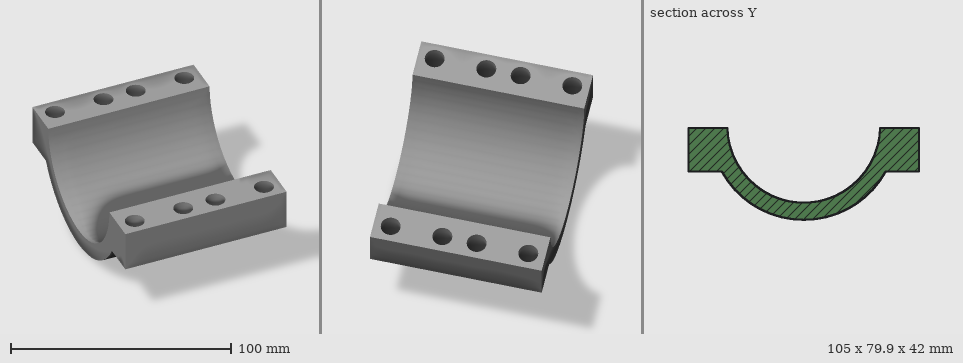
import cadquery as cq

width = 105.0
length = 79.9
flange_thickness = 20.0

bore_radius = 34.5
wall = 8.0
outer_radius = bore_radius + wall
axis_height = 0.5

hole_diameter = 9.0
hole_spacing_x = 90.0
inner_hole_spacing = 16.0
outer_hole_spacing = 64.0


def cylinder_along_y(radius):
    """Cylinder on the saddle axis, spanning the part's length."""
    return (
        cq.Workplane("XZ")
        .center(0, axis_height)
        .circle(radius)
        .extrude(length / 2, both=True)
    )


def slab_below_split(depth):
    """Full-width block reaching down from the split face."""
    return cq.Workplane("XY").box(width, length, depth, centered=(True, True, False)).translate((0, 0, -depth))


flanges = slab_below_split(flange_thickness)
saddle = cylinder_along_y(outer_radius).intersect(slab_below_split(outer_radius))
body = flanges.union(saddle).cut(cylinder_along_y(bore_radius))

hole_centers = [
    (side * hole_spacing_x / 2, end * spacing / 2)
    for side in (-1, 1)
    for end in (-1, 1)
    for spacing in (inner_hole_spacing, outer_hole_spacing)
]
holes = cq.Workplane("XY").pushPoints(hole_centers).circle(hole_diameter / 2).extrude(-flange_thickness)

result = body.cut(holes)